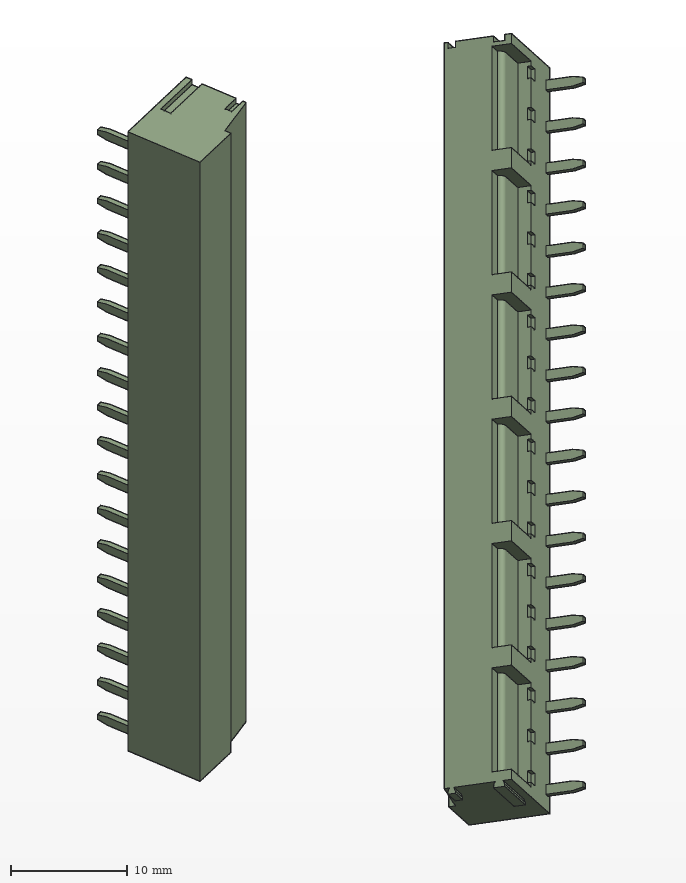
import cadquery as cq
import math


pin_count = 18
pin_length = 3.45
pin_width = 0.9
pin_thickness = 0.52
pin_center_y = 0.7
pin_tip_length = 1.0
pin_tip_width = 0.5
pin_embed = 0.7

housing_width = 7.5
housing_depth = 9.0
housing_length = 68.6
pin_pitch = housing_length / pin_count
shelf_y = 4.8
shelf_x = 6.85
back_corner_x = 6.2

pins_per_window = 3
window_count = pin_count // pins_per_window
window_pitch = pins_per_window * pin_pitch
rib_width = 1.9
window_length = window_pitch - rib_width
window_front_y = 4.35
window_shallow = 1.25
window_deep = 1.8
step_y = 7.7
step_radius = window_deep - window_shallow

pocket_width = 1.1
pocket_reach = 0.8
pocket_depth = 0.35

key_height = 0.55
key_lip = 0.2
key_flare = 0.15
wide_key_x = (0.6, 1.65)
wide_key_front_y = 4.15
narrow_key_x = (5.2, 5.9)
narrow_key_front_y = 7.25
interlocks = [(wide_key_x, wide_key_front_y), (narrow_key_x, narrow_key_front_y)]


def pin_z(index):
    return (index + 0.5) * pin_pitch


def make_housing():
    outline = [
        (0, 0),
        (housing_width, 0),
        (housing_width, shelf_y),
        (shelf_x, shelf_y),
        (back_corner_x, housing_depth),
        (0, housing_depth),
    ]
    return cq.Workplane("XY").polyline(outline).close().extrude(housing_length)


def make_window(index):
    """Recess that is shallow at the front and deep at the back, with a rounded step between."""
    start_z = index * window_pitch + rib_width / 2
    arc_start = (window_shallow, step_y - step_radius)
    arc_middle = (
        window_shallow + step_radius * (1 - math.cos(math.pi / 4)),
        step_y - step_radius + step_radius * math.sin(math.pi / 4),
    )
    arc_end = (window_deep, step_y)
    return (
        cq.Workplane("XY", origin=(0, 0, start_z))
        .moveTo(0, window_front_y)
        .lineTo(window_shallow, window_front_y)
        .lineTo(*arc_start)
        .threePointArc(arc_middle, arc_end)
        .lineTo(window_deep, housing_depth)
        .lineTo(0, housing_depth)
        .close()
        .extrude(window_length)
    )


def make_pocket(z):
    pocket = cq.Workplane("XY").box(pocket_depth, pocket_reach, pocket_width, centered=(False, False, True))
    return pocket.translate((0, window_front_y - pocket_reach, z))


def make_pin(z):
    """Flat pin whose tip narrows along Z."""
    shoulder_x = pin_tip_length - pin_length
    outline = [
        (pin_embed, -pin_width / 2),
        (pin_embed, pin_width / 2),
        (shoulder_x, pin_width / 2),
        (-pin_length, pin_tip_width / 2),
        (-pin_length, -pin_tip_width / 2),
        (shoulder_x, -pin_width / 2),
    ]
    pin = cq.Workplane("XZ").polyline(outline).close().extrude(pin_thickness / 2, both=True)
    return pin.translate((0, pin_center_y, z))


def make_key(span_x, front_y):
    """Dovetail key under the lower end, running from front_y to the back of the housing."""
    left, right = span_x
    lip_z = key_lip - key_height
    section = [
        (left + key_flare, 0),
        (right - key_flare, 0),
        (right, lip_z),
        (right, -key_height),
        (left, -key_height),
        (left, lip_z),
    ]
    key = cq.Workplane("XZ", origin=(0, housing_depth, 0)).polyline(section).close()
    return key.extrude(housing_depth - front_y)


def make_keyway(span_x, front_y):
    """Straight groove in the upper end that takes the key of the next strip."""
    left, right = span_x
    groove = cq.Workplane("XY").box(right - left, housing_depth - front_y, key_height, centered=False)
    return groove.translate((left, front_y, housing_length - key_height))


result = make_housing()

for window_index in range(window_count):
    result = result.cut(make_window(window_index))

for pin_index in range(pin_count):
    result = result.cut(make_pocket(pin_z(pin_index)))
    result = result.union(make_pin(pin_z(pin_index)))

for key_span_x, key_front_y in interlocks:
    result = result.cut(make_keyway(key_span_x, key_front_y))
    result = result.union(make_key(key_span_x, key_front_y))